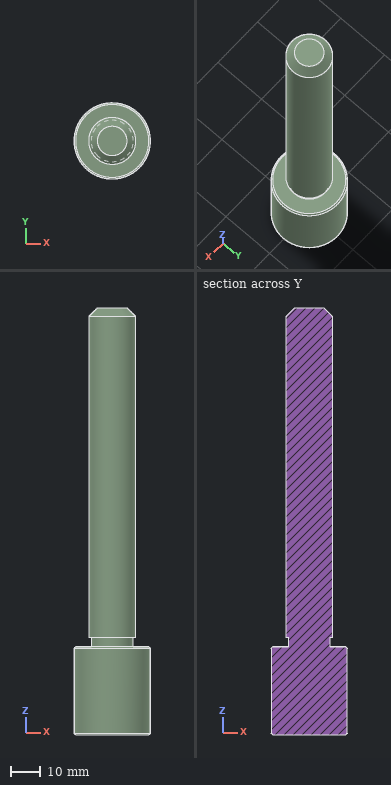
import cadquery as cq

total_height = 145.0
head_diameter = 26.0
head_height = 30.0
head_chamfer = 0.6

shank_diameter = 16.0
tip_diameter = 10.0
tip_height = 2.9

neck_diameter = 14.2
neck_height = 3.0

head_radius = head_diameter / 2
shank_radius = shank_diameter / 2
neck_radius = neck_diameter / 2
tip_radius = tip_diameter / 2
shank_start = head_height + neck_height

profile = (
    cq.Workplane("XZ")
    .lineTo(head_radius - head_chamfer, 0)
    .lineTo(head_radius, head_chamfer)
    .lineTo(head_radius, head_height - head_chamfer)
    .lineTo(head_radius - head_chamfer, head_height)
    .lineTo(neck_radius, head_height)
    .lineTo(neck_radius, shank_start)
    .lineTo(shank_radius, shank_start)
    .lineTo(shank_radius, total_height - tip_height)
    .lineTo(tip_radius, total_height)
    .lineTo(0, total_height)
    .close()
)

result = profile.revolve(360, (0, 0, 0), (0, 1, 0))